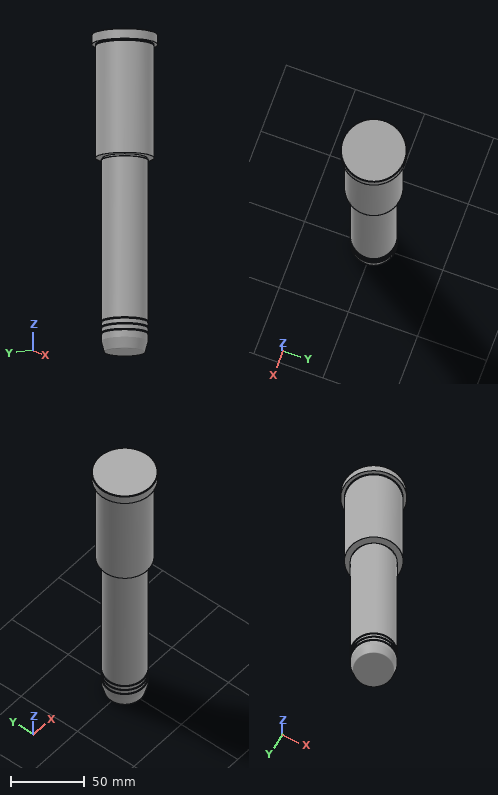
import cadquery as cq

total_length = 220.0
head_diameter = 45.0
head_thickness = 7.0
body_diameter = 40.0
body_bottom_z = 134.5
shaft_diameter = 32.0

head_edge_chamfer = 0.5

head_relief_width = 1.0
shaft_relief_width = 1.5
shaft_relief_depth = 1.0

oil_groove_count = 3
oil_groove_pitch = 4.0
oil_groove_width = 1.0
lowest_oil_groove_z = 13.0

nose_length = 7.5
nose_tip_diameter = 28.0
nose_tip_fillet = 0.5

head_radius = head_diameter / 2
body_radius = body_diameter / 2
shaft_radius = shaft_diameter / 2
nose_tip_radius = nose_tip_diameter / 2
head_bottom_z = total_length - head_thickness


def revolve_about_z(profile):
    """Full turn of an XZ profile about the pin axis."""
    return profile.revolve(360, (0, 0, 0), (0, 1, 0))


def make_pin():
    """Stepped pin with a conical nose."""
    profile = (
        cq.Workplane("XZ")
        .lineTo(nose_tip_radius, 0)
        .lineTo(shaft_radius, nose_length)
        .lineTo(shaft_radius, body_bottom_z)
        .lineTo(body_radius, body_bottom_z)
        .lineTo(body_radius, head_bottom_z)
        .lineTo(head_radius, head_bottom_z)
        .lineTo(head_radius, total_length - head_edge_chamfer)
        .lineTo(head_radius - head_edge_chamfer, total_length)
        .lineTo(0, total_length)
        .close()
    )
    return revolve_about_z(profile)


def v_groove_ring(outer_radius, width, center_z):
    """Ring that cuts a groove with two 45 degree flanks."""
    half_width = width / 2
    profile = (
        cq.Workplane("XZ")
        .moveTo(outer_radius - half_width, center_z)
        .lineTo(outer_radius, center_z + half_width)
        .lineTo(outer_radius, center_z - half_width)
        .close()
    )
    return revolve_about_z(profile)


def square_groove_ring(outer_radius, depth, width, bottom_z):
    """Ring that cuts a groove of rectangular section."""
    profile = (
        cq.Workplane("XZ")
        .moveTo(outer_radius - depth, bottom_z)
        .rect(depth, width, centered=False)
    )
    return revolve_about_z(profile)


def cut_reliefs(pin):
    head_relief = v_groove_ring(body_radius, head_relief_width, head_bottom_z - head_relief_width / 2)
    shaft_relief = square_groove_ring(
        shaft_radius, shaft_relief_depth, shaft_relief_width, body_bottom_z - shaft_relief_width
    )
    return pin.cut(head_relief).cut(shaft_relief)


def cut_oil_grooves(pin):
    for index in range(oil_groove_count):
        center_z = lowest_oil_groove_z + index * oil_groove_pitch
        pin = pin.cut(v_groove_ring(shaft_radius, oil_groove_width, center_z))
    return pin


def round_nose_tip(pin):
    return pin.faces("<Z").edges().fillet(nose_tip_fillet)


result = round_nose_tip(cut_oil_grooves(cut_reliefs(make_pin())))